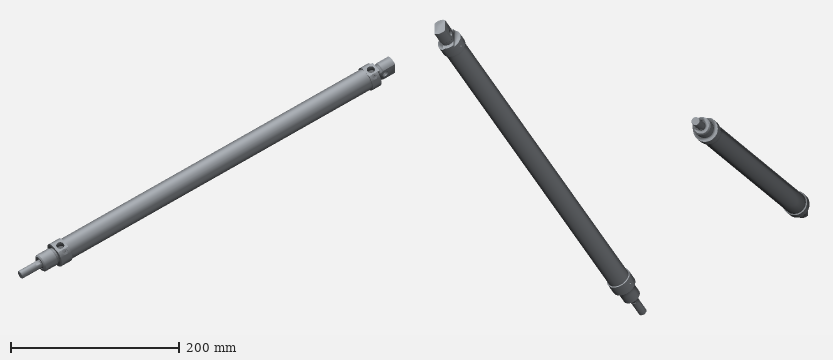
import cadquery as cq
import math

LENGTH = 540
REAR_END = LENGTH / 2
ROD_TIP = -LENGTH / 2

BARREL_DIA = 27.0
BARREL_REAR = 230.0
BARREL_FRONT = -202.5

CAP_DIA = 30.0
CAP_FLAT_Z = BARREL_DIA / 2
NOSE_DIA = 22.0
RIM_LENGTH = 2.0
NECK_DIA = 20.0
FRONT_NECK_LENGTH = 2.0
REAR_NECK_LENGTH = 4.5
NECK_FLANK = 1.0
NOSE_CHAMFER = 1.5
WIPER_SEAT_DIA = 14.0
WIPER_SEAT_DEPTH = 1.0
FRONT_CAP_FACE = -220.0
NOSE_TIP = -241.5
REAR_CAP_FACE = 247.5

TANG_WIDTH = 14.0
TANG_SHOULDER = 244.5
PIN_HOLE_DIA = 8.0
PIN_HOLE_Y = 256.0

PORT_DIA = 9.5
PORT_CORE_DIA = 14.0
FRONT_PORT_Y = -211.5
REAR_PORT_Y = 240.0

SCREW_DIA = 7.0
SCREW_DEPTH = 3.0
SCREW_RECESS = 0.5
SCREW_SOCKET_DIA = 3.5
SCREW_SOCKET_DEPTH = 1.5
SCREW_ANGLE = 40
FRONT_SCREW_Y = -211.5
REAR_SCREW_Y = 238.0
SMALL_HOLE_DIA = 2.2
SMALL_HOLE_DEPTH = 1.5
SMALL_HOLE_ANGLE = 235

ROD_DIA = 10.0
ROD_TIP_CHAMFER = 0.5
WRENCH_FLATS = 8.5
WRENCH_GAP = 0.5
WRENCH_LENGTH = 6.0


def rod_along_y(diameter, y_start, y_end):
    """Round bar on the cylinder axis between two Y positions."""
    low = min(y_start, y_end)
    return cq.Workplane("XZ", origin=(0, low, 0)).circle(diameter / 2).extrude(-abs(y_end - y_start))


def box_between(x_range, y_range, z_range):
    """Axis-aligned block spanning the given ranges."""
    spans = [high - low for low, high in (x_range, y_range, z_range)]
    corner = (x_range[0], y_range[0], z_range[0])
    return cq.Workplane("XY").box(*spans, centered=False).translate(corner)


def radial_bar(diameter, y, angle, r_inner, r_outer):
    """Round bar pointing away from the axis, angle measured from +Z towards +X."""
    bar = cq.Workplane("XY", origin=(0, 0, r_inner)).circle(diameter / 2).extrude(r_outer - r_inner)
    return bar.rotate((0, 0, 0), (0, 1, 0), angle).translate((0, y, 0))


def cap_features(cap, port_y, screw_y):
    """Cut the top flat, air port, screw hole and small hole of an end cap."""
    radius = CAP_DIA / 2
    flat = box_between((-radius, radius), (-LENGTH, LENGTH), (CAP_FLAT_Z, CAP_DIA))
    port = radial_bar(PORT_DIA, port_y, 0, 0, CAP_DIA).cut(rod_along_y(PORT_CORE_DIA, ROD_TIP, REAR_END))
    screw_hole = radial_bar(SCREW_DIA, screw_y, SCREW_ANGLE, radius - SCREW_DEPTH, CAP_DIA)
    small_hole = radial_bar(SMALL_HOLE_DIA, screw_y, SMALL_HOLE_ANGLE, radius - SMALL_HOLE_DEPTH, CAP_DIA)
    return cap.cut(flat).cut(port).cut(screw_hole).cut(small_hole)


def make_barrel():
    """Barrel held between the two cap rims."""
    return rod_along_y(BARREL_DIA, BARREL_FRONT, BARREL_REAR)


def make_threaded_nose(cap_face, tip, neck_length):
    """Solid of revolution from a cap face to the tip: relief neck, sloped flank, full-size nose."""
    outward = math.copysign(1, tip)
    neck_radius = NECK_DIA / 2
    nose_radius = NOSE_DIA / 2
    flank_start = cap_face + outward * neck_length
    nose_start = flank_start + outward * NECK_FLANK
    profile = [
        (0, cap_face),
        (neck_radius, cap_face),
        (neck_radius, flank_start),
        (nose_radius, nose_start),
        (nose_radius, tip),
        (0, tip),
    ]
    return cq.Workplane("XY").polyline(profile).close().revolve(360, (0, 0, 0), (0, 1, 0))


def make_front_cap():
    """Front cap with a bored nose that guides the piston rod."""
    rim_end = BARREL_FRONT - RIM_LENGTH
    rim = rod_along_y(BARREL_DIA, BARREL_FRONT, rim_end)
    cap = cap_features(rod_along_y(CAP_DIA, rim_end, FRONT_CAP_FACE), FRONT_PORT_Y, FRONT_SCREW_Y)
    nose = make_threaded_nose(FRONT_CAP_FACE, NOSE_TIP, FRONT_NECK_LENGTH)
    nose = nose.faces("<Y").chamfer(NOSE_CHAMFER)
    rod_bore = rod_along_y(ROD_DIA, NOSE_TIP, BARREL_FRONT)
    wiper_seat = rod_along_y(WIPER_SEAT_DIA, NOSE_TIP, NOSE_TIP + WIPER_SEAT_DEPTH)
    return cap.union(rim).union(nose).cut(rod_bore).cut(wiper_seat)


def make_rear_cap():
    """Rear cap with a flat-sided clevis tang and cross pin hole."""
    rim_end = BARREL_REAR + RIM_LENGTH
    rim = rod_along_y(BARREL_DIA, BARREL_REAR, rim_end)
    cap = cap_features(rod_along_y(CAP_DIA, rim_end, REAR_CAP_FACE), REAR_PORT_Y, REAR_SCREW_Y)
    nose = make_threaded_nose(REAR_CAP_FACE, REAR_END, REAR_NECK_LENGTH)
    cap = cap.union(rim).union(nose)
    for side in (-1, 1):
        x_range = sorted((side * TANG_WIDTH / 2, side * CAP_DIA))
        cap = cap.cut(box_between(x_range, (TANG_SHOULDER, LENGTH), (-CAP_DIA, CAP_DIA)))
    pin_hole = cq.Workplane("YZ", origin=(0, PIN_HOLE_Y, 0)).circle(PIN_HOLE_DIA / 2)
    pin_hole = pin_hole.extrude(CAP_DIA, both=True)
    return cap.cut(pin_hole)


def make_rod():
    """Piston rod running from its tip through the front cap to the barrel end."""
    rod = rod_along_y(ROD_DIA, ROD_TIP, BARREL_FRONT).faces("<Y").chamfer(ROD_TIP_CHAMFER)
    flats_start = NOSE_TIP - WRENCH_GAP
    y_range = (flats_start - WRENCH_LENGTH, flats_start)
    for side in (-1, 1):
        z_range = sorted((side * WRENCH_FLATS / 2, side * ROD_DIA))
        rod = rod.cut(box_between((-ROD_DIA, ROD_DIA), y_range, z_range))
    return rod


def make_cushion_screw(y):
    """Round screw with a blind socket, slightly sunk below the cap surface."""
    head = CAP_DIA / 2 - SCREW_RECESS
    screw = radial_bar(SCREW_DIA, y, SCREW_ANGLE, CAP_DIA / 2 - SCREW_DEPTH, head)
    socket = radial_bar(SCREW_SOCKET_DIA, y, SCREW_ANGLE, head - SCREW_SOCKET_DEPTH, head)
    return screw.cut(socket)


barrel = make_barrel()
front_cap = make_front_cap()
rear_cap = make_rear_cap()
rod = make_rod()
cushion_screws = [make_cushion_screw(y) for y in (FRONT_SCREW_Y, REAR_SCREW_Y)]

result = cq.Compound.makeCompound(
    [barrel.val(), front_cap.val(), rear_cap.val(), rod.val(), *[screw.val() for screw in cushion_screws]]
)